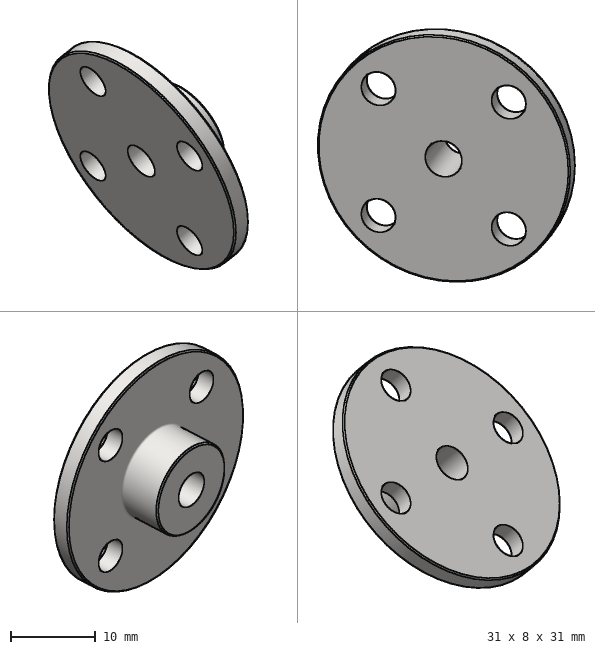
import cadquery as cq

plate_diameter = 31
plate_thickness = 2.4
overall_depth = 8.0
hub_diameter = 12.0
bore_diameter = 4.5
bolt_hole_diameter = 4.2
bolt_hole_offset = 8.0
edge_chamfer = 0.2
root_fillet = 0.25

plate_radius = plate_diameter / 2
hub_radius = hub_diameter / 2
front_y = -overall_depth / 2
plate_back_y = front_y + plate_thickness
hub_end_y = front_y + overall_depth


def turned_body():
    """Revolve the half section (radius along X, depth along Y) about the Y axis."""
    section = (
        cq.Workplane("XY")
        .moveTo(0, front_y)
        .lineTo(plate_radius - edge_chamfer, front_y)
        .lineTo(plate_radius, front_y + edge_chamfer)
        .lineTo(plate_radius, plate_back_y - edge_chamfer)
        .lineTo(plate_radius - edge_chamfer, plate_back_y)
        .lineTo(hub_radius + root_fillet, plate_back_y)
        .radiusArc((hub_radius, plate_back_y + root_fillet), root_fillet)
        .lineTo(hub_radius, hub_end_y - edge_chamfer)
        .lineTo(hub_radius - edge_chamfer, hub_end_y)
        .lineTo(0, hub_end_y)
        .close()
    )
    return section.revolve(360, (0, 0, 0), (0, 1, 0))


def through_holes(diameter, centers):
    """Cylinders along Y, spanning the full depth, at the given (x, z) centers."""
    start = cq.Workplane("XZ", origin=(0, front_y, 0))
    return start.pushPoints(centers).circle(diameter / 2).extrude(-overall_depth)


bolt_hole_centers = [
    (x_side * bolt_hole_offset, z_side * bolt_hole_offset)
    for x_side in (-1, 1)
    for z_side in (-1, 1)
]

result = (
    turned_body()
    .cut(through_holes(bore_diameter, [(0, 0)]))
    .cut(through_holes(bolt_hole_diameter, bolt_hole_centers))
)